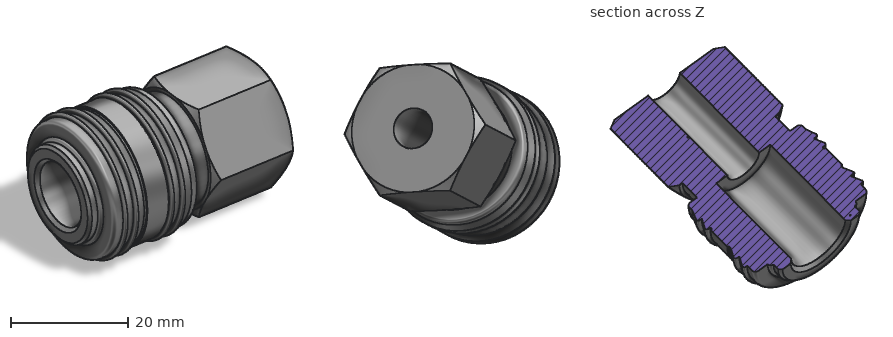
import cadquery as cq
import math


total_length = 41.5
hex_length = 17.25
hex_start = total_length - hex_length
collar_start = 1.75
sleeve_start = 2.45
sleeve_end = 20.5

nose_radius = 9.1
nose_chamfer = 0.55
collar_radius = 9.8
collar_fillet = collar_radius - nose_radius

sleeve_radius = 12.7
sleeve_fillet = 0.8
ridge_radius = 13.4
ridge_pitch = 2.3
ridge_rim = 0.5
ridge_fillet = 0.4
groove_radius = 12.55
front_ridges_start = 4.45
rear_ridges_start = 14.35
last_ridge_end = 19.0
band_start = 9.55
band_end = 14.0
band_radius = 12.85

neck_radius = 10.4
hex_sides = 6
hex_across_flats = 22.1
hex_end_radius = 11.1
hex_chamfer_angle = 30.0

through_radius = 3.5
bore_radius = 6.0
bore_depth = sleeve_end
mouth_radius = 6.7
mouth_depth = mouth_radius - bore_radius


def turned(profile):
    """Close a profile drawn as (radius, Y) and turn it about the Y axis."""
    return profile.close().revolve(360, (0, 0, 0), (0, 1, 0))


def cylinder(radius, start, end):
    profile = cq.Workplane("XY").moveTo(0, start).lineTo(radius, start).lineTo(radius, end).lineTo(0, end)
    return turned(profile)


def make_nose():
    return cylinder(nose_radius, 0, sleeve_start).faces("<Y").chamfer(nose_chamfer)


def make_collar():
    collar = cylinder(collar_radius, collar_start, sleeve_end)
    return collar.faces("<Y").edges().fillet(collar_fillet)


def make_ridge(start, end, foot_radius):
    """Saw-tooth ridge: rounded steep side at start, tapering to the foot at end."""
    profile = (
        cq.Workplane("XY")
        .moveTo(0, start)
        .lineTo(ridge_radius - ridge_fillet, start)
        .radiusArc((ridge_radius, start + ridge_fillet), -ridge_fillet)
        .lineTo(ridge_radius, start + ridge_rim)
        .lineTo(foot_radius, end)
        .lineTo(0, end)
    )
    return turned(profile)


def make_sleeve():
    sleeve = cylinder(sleeve_radius, sleeve_start, sleeve_end).edges("%CIRCLE").fillet(sleeve_fillet)

    front_end = front_ridges_start + ridge_pitch
    last_start = rear_ridges_start + ridge_pitch
    middle = cylinder(ridge_radius, front_ridges_start, last_start)
    sleeve = sleeve.cut(middle).union(cylinder(groove_radius, front_ridges_start, last_start))
    sleeve = sleeve.union(cylinder(band_radius, band_start, band_end))

    for start in (front_ridges_start, front_end, rear_ridges_start):
        sleeve = sleeve.union(make_ridge(start, start + ridge_pitch, groove_radius))
    return sleeve.union(make_ridge(last_start, last_ridge_end, sleeve_radius))


def make_hexagon():
    corner_radius = hex_across_flats / 2 / math.cos(math.pi / hex_sides)
    prism = (
        cq.Workplane("XZ", origin=(0, hex_start, 0))
        .polygon(hex_sides, 2 * corner_radius)
        .extrude(-hex_length)
    )

    bevel_length = (corner_radius - hex_end_radius) * math.tan(math.radians(hex_chamfer_angle))
    envelope = turned(
        cq.Workplane("XY")
        .moveTo(0, hex_start)
        .lineTo(hex_end_radius, hex_start)
        .lineTo(corner_radius, hex_start + bevel_length)
        .lineTo(corner_radius, total_length - bevel_length)
        .lineTo(hex_end_radius, total_length)
        .lineTo(0, total_length)
    )
    return prism.intersect(envelope)


def make_bore():
    profile = (
        cq.Workplane("XY")
        .moveTo(0, 0)
        .lineTo(mouth_radius, 0)
        .lineTo(bore_radius, mouth_depth)
        .lineTo(bore_radius, bore_depth)
        .lineTo(through_radius, bore_depth)
        .lineTo(through_radius, total_length)
        .lineTo(0, total_length)
    )
    return turned(profile)


neck = cylinder(neck_radius, sleeve_start + sleeve_fillet, hex_start)
body = make_nose().union(make_collar()).union(make_sleeve()).union(neck).union(make_hexagon())
result = body.cut(make_bore())